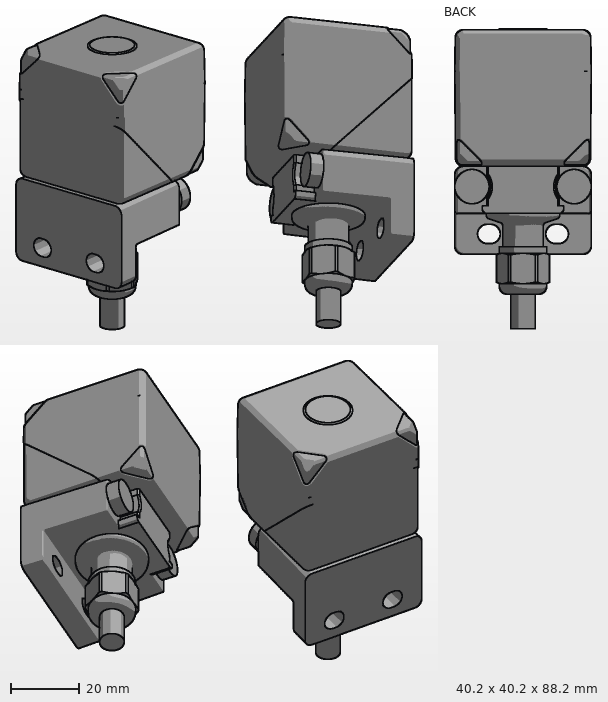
import cadquery as cq
import math

WIDTH = 40.15
HALF = WIDTH / 2
HEAD_BOTTOM = -WIDTH
PARTING_Z = -12.3
UPPER_DRAFT = 0.85
LOWER_DRAFT = 0.5
EDGE_RADIUS = 2.45

WEDGE_HALF_WIDTH = 19.8
WEDGE_TOP = -15.1

CORNER_CUT = 9.5
CORNER_DEPTH = 0.45
CORNER_RIM_RADIUS = 0.3
CORNER_RADIUS = 1.4
FACET_CUT = 5.2
FACET_RADIUS = 0.8
CORE_SIZE = 14.0

DISC_BASE_DIAMETER = 14.5
DISC_TOP_DIAMETER = 13.2
DISC_HEIGHT = 0.3

FOOT_BOTTOM = -66.0
FOOT_THICKNESS = 7.2
BRACKET_BOTTOM = -54.0
BRACKET_BACK = 7.8
BRACKET_BACK_INSET = 0.7
BRACKET_EDGE_RADIUS = 0.5
SLOT_SPACING = 20.0
SLOT_LENGTH = 6.6
SLOT_WIDTH = 5.6
SLOT_Z = -60.0

CLAMP_BACK = 13.9
CLAMP_HALF_WIDTH = 10.7
CLAMP_CHAMFER = 0.5
LIP_HALF_WIDTH = 12.0
LIP_TOP = -51.7
LIP_RADIUS = 1.5
LIP_TOP_RADIUS = 0.4
SCREW_X = 15.0
SCREW_Z = -46.1
SCREW_DIAMETER = 10.1
SCREW_BACK = 11.8
SCREW_RELIEF_DIAMETER = 11.0

COLLAR_DIAMETER = 21.6
COLLAR_RIM_BOTTOM = -55.3
COLLAR_BOTTOM = -56.9
COLLAR_RIM_RADIUS = 1.0
COLLAR_NECK_RADIUS = 0.9
NECK_DIAMETER = 12.0
NUT_TOP = -63.8
HEX_TOP = -65.7
HEX_BOTTOM = -74.6
NUT_BOTTOM = -77.75
NUT_FLATS = 14.0
NUT_CORNERS = 15.7
NUT_RADIUS = 2.4
HEX_CHAMFER_HEIGHT = 0.45
CABLE_DIAMETER = 7.3
CABLE_BOTTOM = -87.86


def box_between(x_range, y_range, z_range):
    """Axis-aligned box between the given limits."""
    corner = (x_range[0], y_range[0], z_range[0])
    size = [high - low for low, high in (x_range, y_range, z_range)]
    return cq.Workplane("XY").box(*size, centered=False).translate(corner)


def turned(diameter, top, bottom):
    """Cylinder on the Z axis."""
    return cq.Workplane("XY").workplane(offset=bottom).circle(diameter / 2).extrude(top - bottom)


def shrink_at(z):
    """How far the drafted head walls stand inside the parting outline at height z."""
    draft = UPPER_DRAFT if z > PARTING_Z else LOWER_DRAFT
    return abs(z - PARTING_Z) * math.tan(math.radians(draft))


def drafted_half(end_z, front_shrink):
    """Half of the head, narrowing from the parting plane to end_z, with rounded edges."""
    shrink = shrink_at(end_z)
    x_outline = [(-HALF, PARTING_Z), (HALF, PARTING_Z), (HALF - shrink, end_z), (shrink - HALF, end_z)]
    end_front = (front_shrink - HALF, end_z)
    y_outline = [(-HALF, PARTING_Z), (HALF, PARTING_Z), (HALF - shrink, end_z), end_front]
    half = cq.Workplane("XZ").polyline(x_outline).close().extrude(WIDTH, both=True)
    half = half.intersect(cq.Workplane("YZ").polyline(y_outline).close().extrude(WIDTH, both=True))
    parting_side = "<Z" if end_z > PARTING_Z else ">Z"
    return half.edges(f"not({parting_side})").fillet(EDGE_RADIUS)


def wedge_prism():
    """Triangular region in front of and below the 45 degree swivel plane."""
    leg = WEDGE_TOP - HEAD_BOTTOM
    triangle = [(-HALF, HEAD_BOTTOM), (-HALF + leg, HEAD_BOTTOM), (-HALF, WEDGE_TOP)]
    return cq.Workplane("YZ").polyline(triangle).close().extrude(WIDTH, both=True)


def swivel_wedge():
    """Undrafted part of the head, set slightly inside the drafted side walls."""
    block = box_between(
        (-WEDGE_HALF_WIDTH, WEDGE_HALF_WIDTH), (-HALF, HALF), (HEAD_BOTTOM, PARTING_Z)
    )
    block = block.edges("not(>Z or >Y)").fillet(EDGE_RADIUS)
    return block.intersect(wedge_prism())


def beyond_corner(corner, outward, cut):
    """Slab beyond the diagonal plane meeting the three corner edges at the distance cut."""
    origin = [c - o * cut / 3 for c, o in zip(corner, outward)]
    x_direction = (outward[1], -outward[0], 0)
    plane = cq.Plane(origin=origin, xDir=x_direction, normal=outward)
    return cq.Workplane(plane).rect(3 * cut, 3 * cut).extrude(cut)


def recess_corner(head, x_side, y_side, z_side):
    """Set one corner of the head back by CORNER_DEPTH and cut a facet at its tip."""
    z_corner = 0 if z_side > 0 else HEAD_BOTTOM
    half = HALF - shrink_at(z_corner)
    corner = (x_side * half, y_side * half, z_corner)
    outward = (x_side, y_side, z_side)
    core_centre = [c - o * (CORNER_DEPTH + CORE_SIZE / 2) for c, o in zip(corner, outward)]
    core = cq.Workplane("XY").box(CORE_SIZE, CORE_SIZE, CORE_SIZE).edges().fillet(CORNER_RADIUS)
    core = core.translate(tuple(core_centre)).cut(beyond_corner(corner, outward, FACET_CUT))
    facet = cq.selectors.DirectionMinMaxSelector(cq.Vector(*outward), True)
    core = core.faces(facet).edges().fillet(FACET_RADIUS)
    region = beyond_corner(corner, outward, CORNER_CUT)
    head = head.cut(region)
    head = head.faces(facet).edges().fillet(CORNER_RIM_RADIUS)
    return head.union(core.intersect(region))


def make_head():
    """Rounded cube with its wedge, recessed corners and sensing-face disc."""
    upper_half = drafted_half(0, shrink_at(0))
    lower_half = drafted_half(HEAD_BOTTOM, 0).cut(wedge_prism()).union(swivel_wedge())
    head = upper_half.union(lower_half)
    for x_side in (-1, 1):
        head = recess_corner(head, x_side, -1, 1)
        head = recess_corner(head, x_side, 1, -1)
    disc_chamfer = (DISC_BASE_DIAMETER - DISC_TOP_DIAMETER) / 2
    disc = turned(DISC_BASE_DIAMETER, DISC_HEIGHT, -DISC_HEIGHT)
    disc = disc.faces(">Z").chamfer(DISC_HEIGHT, disc_chamfer)
    return head.union(disc)


def make_bracket():
    """L-shaped bracket with two fixing slots in its foot."""
    foot_back = -HALF + FOOT_THICKNESS
    profile = [
        (-HALF, HEAD_BOTTOM),
        (BRACKET_BACK, HEAD_BOTTOM),
        (BRACKET_BACK, BRACKET_BOTTOM),
        (foot_back, BRACKET_BOTTOM),
        (foot_back, FOOT_BOTTOM),
        (-HALF, FOOT_BOTTOM),
    ]
    bracket = cq.Workplane("YZ").polyline(profile).close().extrude(HALF, both=True)
    back_half = HALF - BRACKET_BACK_INSET
    plan = [(-HALF, -HALF), (HALF, -HALF), (back_half, BRACKET_BACK), (-back_half, BRACKET_BACK)]
    drafted_sides = cq.Workplane("XY").polyline(plan).close().extrude(WIDTH * 2, both=True)
    bracket = bracket.intersect(drafted_sides)
    for end in (">Z", "<Z"):
        bracket = bracket.faces(end).edges("not |X").fillet(EDGE_RADIUS)
    bracket = bracket.faces(">Y").edges("not(<Z or >Z)").fillet(BRACKET_EDGE_RADIUS)
    inner_edge = cq.selectors.NearestToPointSelector((0, foot_back, BRACKET_BOTTOM))
    bracket = bracket.edges(inner_edge).fillet(BRACKET_EDGE_RADIUS)
    underside = cq.selectors.NearestToPointSelector((HALF, 0, BRACKET_BOTTOM))
    bracket = bracket.edges(underside).fillet(BRACKET_EDGE_RADIUS)
    slots = cq.Workplane("XZ", origin=(0, 0, SLOT_Z)).rarray(SLOT_SPACING, 1, 2, 1)
    slots = slots.slot2D(SLOT_LENGTH, SLOT_WIDTH).extrude(WIDTH)
    return bracket.cut(slots)


def make_clamp():
    """Central block with bottom lip, and two screw heads behind the bracket."""
    block = box_between(
        (-CLAMP_HALF_WIDTH, CLAMP_HALF_WIDTH), (0, CLAMP_BACK), (BRACKET_BOTTOM, HEAD_BOTTOM)
    )
    lip = box_between((-LIP_HALF_WIDTH, LIP_HALF_WIDTH), (0, CLAMP_BACK), (BRACKET_BOTTOM, LIP_TOP))
    lip = lip.edges("|Y and <Z").fillet(LIP_RADIUS)
    lip = lip.faces(">Z").edges("|Y").fillet(LIP_TOP_RADIUS)
    screw_places = [(-SCREW_X, 0), (SCREW_X, 0)]
    screw_plane = cq.Workplane("XZ", origin=(0, BRACKET_BACK, SCREW_Z)).pushPoints(screw_places)
    relief = screw_plane.circle(SCREW_RELIEF_DIAMETER / 2).extrude(BRACKET_BACK - CLAMP_BACK)
    screws = screw_plane.circle(SCREW_DIAMETER / 2).extrude(BRACKET_BACK - SCREW_BACK)
    block = block.cut(relief)
    block = block.faces(">Y").edges("not(<Z or >Z)").chamfer(CLAMP_CHAMFER)
    return block.union(lip).union(screws)


def ring_at(z):
    """Selector for the circular edge around the Z axis at height z."""
    return cq.selectors.NearestToPointSelector((0, 0, z))


def make_gland():
    """Collar, neck, hexagonal nut and cable below the bracket."""
    collar_radius = COLLAR_DIAMETER / 2
    neck_radius = NECK_DIAMETER / 2
    collar_profile = [
        (0, BRACKET_BOTTOM),
        (collar_radius, BRACKET_BOTTOM),
        (collar_radius, COLLAR_RIM_BOTTOM),
        (neck_radius, COLLAR_BOTTOM),
        (neck_radius, NUT_TOP),
        (0, NUT_TOP),
    ]
    collar = cq.Workplane("XZ").polyline(collar_profile).close().revolve(360, (0, 0), (0, 1))
    collar = collar.edges(ring_at(COLLAR_RIM_BOTTOM)).fillet(COLLAR_RIM_RADIUS)
    collar = collar.edges(ring_at(COLLAR_BOTTOM)).fillet(COLLAR_NECK_RADIUS)
    nut = turned(NUT_FLATS, NUT_TOP, NUT_BOTTOM).faces("<Z").edges().fillet(NUT_RADIUS)
    corner_diameter = NUT_FLATS / math.cos(math.pi / 6)
    hexagon = cq.Workplane("XY").workplane(offset=HEX_BOTTOM).polygon(6, corner_diameter)
    hexagon = hexagon.extrude(HEX_TOP - HEX_BOTTOM)
    chamfer_width = (NUT_CORNERS - NUT_FLATS) / 2
    hex_limit = turned(NUT_CORNERS, HEX_TOP, HEX_BOTTOM)
    hex_limit = hex_limit.faces(">Z or <Z").chamfer(HEX_CHAMFER_HEIGHT, chamfer_width)
    hexagon = hexagon.intersect(hex_limit)
    cable = turned(CABLE_DIAMETER, NUT_BOTTOM, CABLE_BOTTOM)
    return collar.union(nut).union(hexagon).union(cable)


result = make_head().union(make_bracket()).union(make_clamp()).union(make_gland())